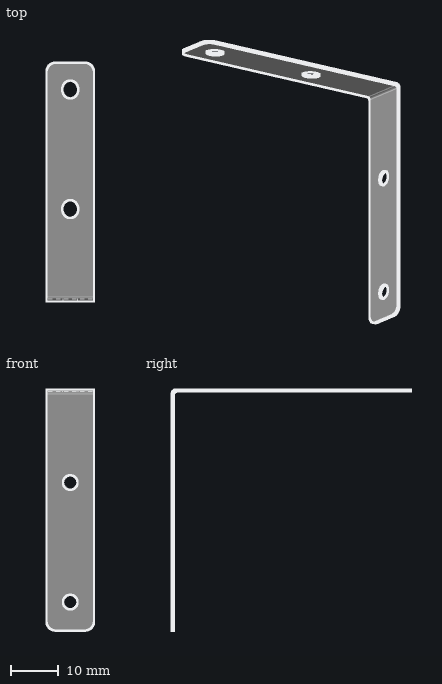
import cadquery as cq

width = 10.0
top_leg_length = 50.0
upright_height = 50.5
thickness = 0.5
inner_bend_radius = 0.5
outer_bend_radius = inner_bend_radius + thickness
end_corner_radius = 2.0

hole_pitch = 25.0
round_hole_diameter = 3.0
round_hole_end_distance = 6.0
oval_width = 3.3
oval_length = 3.7
oval_end_distance = 5.65


def bent_strip():
    """L-shaped strip with its outer bend corner at Y = 0, Z = upright_height."""
    profile = (
        cq.Workplane("YZ")
        .moveTo(0, 0)
        .lineTo(0, upright_height)
        .lineTo(top_leg_length, upright_height)
        .lineTo(top_leg_length, upright_height - thickness)
        .lineTo(thickness, upright_height - thickness)
        .lineTo(thickness, 0)
        .close()
    )
    strip = profile.extrude(width / 2, both=True)
    strip = strip.edges("|X and <Y and >Z").fillet(outer_bend_radius)
    inner_corner = cq.selectors.NearestToPointSelector((0, thickness, upright_height - thickness))
    return strip.edges("|X").edges(inner_corner).fillet(inner_bend_radius)


def round_free_ends(strip):
    """Round the two corners at the free end of each leg."""
    strip = strip.faces(">Y").edges("|Z").fillet(end_corner_radius)
    return strip.faces("<Z").edges("|Y").fillet(end_corner_radius)


def upright_holes():
    """Two round holes through the upright leg, along Y."""
    lower_z = round_hole_end_distance
    centres = [(0, lower_z), (0, lower_z + hole_pitch)]
    return (
        cq.Workplane("XZ")
        .pushPoints(centres)
        .circle(round_hole_diameter / 2)
        .extrude(-thickness)
    )


def top_ovals():
    """Two elliptical holes through the top leg, slightly longer along Y."""
    outer_y = top_leg_length - oval_end_distance
    centres = [(0, outer_y), (0, outer_y - hole_pitch)]
    return (
        cq.Workplane("XY")
        .workplane(offset=upright_height - thickness)
        .pushPoints(centres)
        .ellipse(oval_width / 2, oval_length / 2)
        .extrude(thickness)
    )


result = round_free_ends(bent_strip()).cut(upright_holes()).cut(top_ovals())